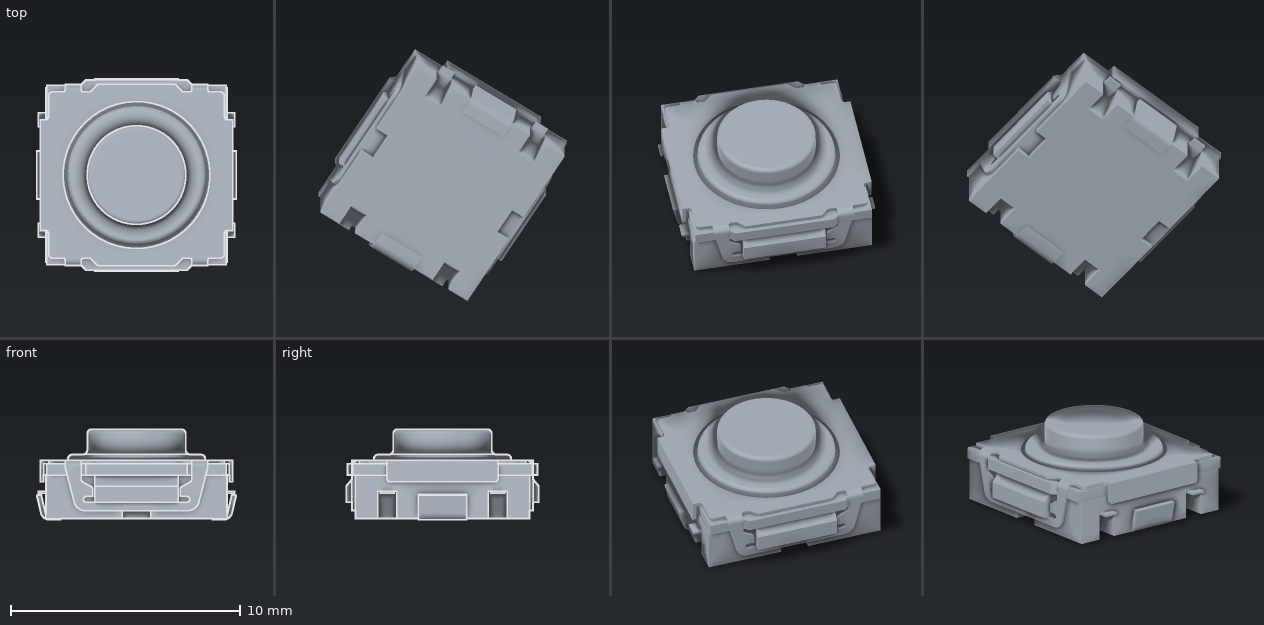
import cadquery as cq
import math

BODY_X = 7.9
BODY_Y = 7.6
RIM_SIZE = 7.84
RIM_BOTTOM = 1.9
RIM_TOP = 2.4
RIM_SIDE_X = 4.05
RIM_BUMP_Y = 4.15

KEY_WIDTH = 1.24
KEY_HEIGHT = 0.34
KEY_DEPTH = 0.6

HOOK_HALF_WIDTH = 1.82
HOOK_Y = 4.2
HOOK_BOTTOM = 0.71
HOOK_RAMP_START = 1.42

SHEET = 0.15
COVER_TOP = RIM_TOP + SHEET
COVER_X = 3.82
COVER_Y = 3.62
COVER_CORNER = 0.15
STRAP_ROOT_R = 0.1
COVER_HOLE_R = 3.2
TAB_Y = 3.95
TAB_ROOT_X = 2.02
TAB_TIP_X = 1.7

FLAP_X = RIM_SIDE_X + SHEET
FLAP_HALF_WIDTH = 2.42
FLAP_BOTTOM = 1.6
FLAP_CORNER = 0.13

STRAP_OUTER_X = 3.11
STRAP_INNER_X = 2.41
STRAP_FACE_Y = BODY_Y / 2 + SHEET
STRAP_BEND = 0.3
STRAP_BEND_Z = COVER_TOP - STRAP_BEND
STRAP_BOTTOM = 0.35
STRAP_CORNER_X = 2.62
STRAP_CORNER_R = 0.5

WINDOW_SHOULDER_Z = 1.64
WINDOW_NECK_X = 1.91
WINDOW_NECK_Z = 1.36
WINDOW_FOOT_Z = 0.97
WINDOW_FOOT_X = 2.32
WINDOW_ROUND = 0.12

BUTTON_R = 2.15
BUTTON_TOP = 3.9
COLLAR_R = 3.0
COLLAR_TOP = 2.8
PLUNGER_ROUND = 0.2

LEAD_HALF_WIDTH = 1.05
LEAD_THICKNESS = 0.2
LEAD_TIP_X = 4.35
LEAD_TIP_Z = 1.02
LEAD_TILT = 13.0
LEAD_BOTTOM = -0.05
LEAD_FOOT_X = 3.3
LEAD_BEND_R = 0.4

POCKET_Y = 2.41
POCKET_WIDTH = 0.82
POCKET_HEIGHT = 1.2
POCKET_DEPTH = 0.5
POCKET_TILT = 22.0
TONGUE_WIDTH = 0.62
TONGUE_THICKNESS = 0.1
TONGUE_X = 4.29
TONGUE_ROOT = 0.5


def block(x0, x1, y0, y1, z0, z1):
    """Box between two opposite corners."""
    return cq.Workplane("XY").box(x1 - x0, y1 - y0, z1 - z0, centered=False).translate((x0, y0, z0))


def both_ends(shape):
    """The shape together with its mirror image across the XZ plane."""
    return shape.union(shape.mirror("XZ"))


def both_sides(shape):
    """The shape together with its mirror image across the YZ plane."""
    return shape.union(shape.mirror("YZ"))


def mirrored_outline(half):
    """Close a half outline given on the +X side with its reflection."""
    return half + [(-x, y) for x, y in reversed(half)]


def base():
    half_x = BODY_X / 2
    half_y = BODY_Y / 2
    body = block(-half_x, half_x, -half_y, half_y, 0, RIM_BOTTOM)
    key = block(-KEY_WIDTH / 2, KEY_WIDTH / 2, half_y - KEY_DEPTH, half_y, 0, KEY_HEIGHT)
    return body.cut(both_ends(key))


def rim():
    half = RIM_SIZE / 2
    side_run = RIM_SIDE_X - half
    bump_run = RIM_BUMP_Y - TAB_Y
    quarter = [
        (RIM_SIDE_X, FLAP_HALF_WIDTH - side_run),
        (half, FLAP_HALF_WIDTH),
        (half, half),
        (STRAP_INNER_X, half),
        (STRAP_INNER_X, TAB_Y),
        (STRAP_INNER_X - bump_run, RIM_BUMP_Y),
    ]
    half_outline = [(x, -y) for x, y in reversed(quarter)] + quarter
    plate = cq.Workplane("XY").workplane(offset=RIM_BOTTOM).polyline(mirrored_outline(half_outline)).close()
    plate = plate.extrude(RIM_TOP - RIM_BOTTOM)
    strap_seat = block(STRAP_INNER_X, STRAP_OUTER_X, BODY_Y / 2, RIM_BUMP_Y, STRAP_BEND_Z, RIM_TOP)
    return plate.cut(both_ends(both_sides(strap_seat)))


def hooks():
    wall = BODY_Y / 2
    profile = [
        (0, HOOK_BOTTOM),
        (HOOK_Y, HOOK_BOTTOM),
        (HOOK_Y, HOOK_RAMP_START),
        (wall, RIM_BOTTOM),
        (0, RIM_BOTTOM),
    ]
    hook = cq.Workplane("YZ").polyline(profile).close().extrude(HOOK_HALF_WIDTH, both=True)
    return both_ends(hook)


def cover_plate():
    """Top plate with side wings and end tabs, its outline corners rounded."""
    plate = block(-COVER_X, COVER_X, -COVER_Y, COVER_Y, RIM_TOP, COVER_TOP)
    wing = block(-FLAP_X, FLAP_X, -FLAP_HALF_WIDTH, FLAP_HALF_WIDTH, RIM_TOP, COVER_TOP)
    half_tab = [(TAB_ROOT_X, COVER_Y), (TAB_TIP_X, TAB_Y)]
    underside = cq.Workplane("XY").workplane(offset=RIM_TOP)
    tab = underside.polyline(mirrored_outline(half_tab)).close().extrude(SHEET)
    hole = underside.circle(COVER_HOLE_R).extrude(SHEET)
    plate = plate.union(wing).union(both_ends(tab))
    rounded_corners = [
        (COVER_X, COVER_Y),
        (COVER_X, FLAP_HALF_WIDTH),
        (TAB_ROOT_X, COVER_Y),
        (TAB_TIP_X, TAB_Y),
    ]
    for corner_x, corner_y in rounded_corners:
        for x in (-corner_x, corner_x):
            for y in (-corner_y, corner_y):
                corner = cq.selectors.NearestToPointSelector((x, y, RIM_TOP + SHEET / 2))
                plate = plate.edges("|Z").edges(corner).fillet(COVER_CORNER)
    return plate.cut(hole)


def flaps():
    flap = block(RIM_SIDE_X, FLAP_X, -FLAP_HALF_WIDTH, FLAP_HALF_WIDTH, FLAP_BOTTOM, COVER_TOP)
    return both_sides(flap.edges("|X").edges("<Z").fillet(FLAP_CORNER))


def strap_window():
    """Opening between the straps, with a slot foot on each side of the hook."""
    half = [
        (STRAP_INNER_X, COVER_TOP),
        (STRAP_INNER_X, WINDOW_SHOULDER_Z),
        (WINDOW_NECK_X, WINDOW_NECK_Z),
        (WINDOW_NECK_X, HOOK_BOTTOM),
    ]
    opening = cq.Workplane("XZ").polyline(mirrored_outline(half)).close().extrude(-BODY_Y)
    shoulders = cq.selectors.BoxSelector(
        (-STRAP_INNER_X - SHEET, -BODY_Y, WINDOW_NECK_Z - SHEET),
        (STRAP_INNER_X + SHEET, 2 * BODY_Y, WINDOW_SHOULDER_Z + SHEET),
    )
    opening = opening.edges("|Y").edges(shoulders).fillet(WINDOW_ROUND)
    foot_height = WINDOW_FOOT_Z - HOOK_BOTTOM
    foot = (
        cq.Workplane("XZ")
        .center(0, HOOK_BOTTOM + foot_height / 2)
        .slot2D(2 * WINDOW_FOOT_X, foot_height)
        .extrude(-BODY_Y)
    )
    return opening.union(foot)


def straps():
    inner_y = BODY_Y / 2
    half = [(STRAP_OUTER_X, STRAP_BEND_Z), (STRAP_CORNER_X, STRAP_BOTTOM)]
    loop = cq.Workplane("XZ", origin=(0, inner_y, 0)).polyline(mirrored_outline(half)).close().extrude(-SHEET)
    loop = loop.edges("|Y").edges("<Z").fillet(STRAP_CORNER_R).cut(strap_window())

    bend_y = STRAP_FACE_Y - STRAP_BEND
    inner_bend = STRAP_BEND - SHEET
    diagonal = math.sqrt(0.5)
    bend = (
        cq.Workplane("YZ", origin=(STRAP_INNER_X, 0, 0))
        .moveTo(COVER_Y - COVER_CORNER, COVER_TOP)
        .lineTo(bend_y, COVER_TOP)
        .threePointArc(
            (bend_y + STRAP_BEND * diagonal, STRAP_BEND_Z + STRAP_BEND * diagonal),
            (STRAP_FACE_Y, STRAP_BEND_Z),
        )
        .lineTo(inner_y, STRAP_BEND_Z)
        .threePointArc(
            (bend_y + inner_bend * diagonal, STRAP_BEND_Z + inner_bend * diagonal),
            (bend_y, RIM_TOP),
        )
        .lineTo(COVER_Y - COVER_CORNER, RIM_TOP)
        .close()
        .extrude(STRAP_OUTER_X - STRAP_INNER_X)
    )
    return both_ends(loop.union(both_sides(bend)))


def cover():
    """Plate and straps, with small rounds where each strap leaves the plate."""
    shell = cover_plate().union(straps())
    for x in (-STRAP_OUTER_X, -STRAP_INNER_X, STRAP_INNER_X, STRAP_OUTER_X):
        for y in (-COVER_Y, COVER_Y):
            root = cq.selectors.NearestToPointSelector((x, y, RIM_TOP + SHEET / 2))
            shell = shell.edges("|Z").edges(root).fillet(STRAP_ROOT_R)
    return shell


def plunger():
    """Button, collar and skirt turned about Z, joined by equal rounds."""
    r = PLUNGER_ROUND
    bulge = r * math.sqrt(0.5)
    neck_r = BUTTON_R + r
    skirt_r = COLLAR_R + r
    profile = (
        cq.Workplane("XZ")
        .moveTo(0, RIM_BOTTOM)
        .lineTo(skirt_r, RIM_BOTTOM)
        .lineTo(skirt_r, RIM_TOP)
        .threePointArc((skirt_r - bulge, RIM_TOP + r - bulge), (COLLAR_R, RIM_TOP + r))
        .threePointArc((COLLAR_R - r + bulge, COLLAR_TOP - r + bulge), (COLLAR_R - r, COLLAR_TOP))
        .lineTo(neck_r, COLLAR_TOP)
        .threePointArc((neck_r - bulge, COLLAR_TOP + r - bulge), (BUTTON_R, COLLAR_TOP + r))
        .lineTo(BUTTON_R, BUTTON_TOP - r)
        .threePointArc((BUTTON_R - r + bulge, BUTTON_TOP - r + bulge), (BUTTON_R - r, BUTTON_TOP))
        .lineTo(0, BUTTON_TOP)
        .close()
    )
    return profile.revolve(360, (0, 0, 0), (0, 1, 0))


def side_leads():
    """Bent leads: a foot under the base and a blade leaning away from the wall."""
    tilt = math.radians(LEAD_TILT)
    outer_knee_x = LEAD_TIP_X - (LEAD_TIP_Z - LEAD_BOTTOM) * math.tan(tilt)
    foot_top = LEAD_BOTTOM + LEAD_THICKNESS
    inner_tip_x = LEAD_TIP_X - LEAD_THICKNESS * math.cos(tilt)
    inner_tip_z = LEAD_TIP_Z + LEAD_THICKNESS * math.sin(tilt)
    inner_knee_x = inner_tip_x - (inner_tip_z - foot_top) * math.tan(tilt)
    profile = [
        (LEAD_FOOT_X, LEAD_BOTTOM),
        (outer_knee_x, LEAD_BOTTOM),
        (LEAD_TIP_X, LEAD_TIP_Z),
        (inner_tip_x, inner_tip_z),
        (inner_knee_x, foot_top),
        (LEAD_FOOT_X, foot_top),
    ]
    lead = cq.Workplane("XZ").polyline(profile).close().extrude(LEAD_HALF_WIDTH, both=True)
    knee = cq.selectors.NearestToPointSelector((outer_knee_x, 0, LEAD_BOTTOM))
    return both_sides(lead.edges("|Y").edges(knee).fillet(LEAD_BEND_R))


def side_pockets():
    wall = BODY_X / 2
    top_x = wall - POCKET_DEPTH
    bottom_x = top_x - POCKET_HEIGHT * math.tan(math.radians(POCKET_TILT))
    profile = [(wall, 0), (wall, POCKET_HEIGHT), (top_x, POCKET_HEIGHT), (bottom_x, 0)]
    pocket = cq.Workplane("XZ").polyline(profile).close().extrude(POCKET_WIDTH / 2, both=True)
    return both_ends(both_sides(pocket.translate((0, POCKET_Y, 0))))


def tongues():
    tongue = block(
        BODY_X / 2 - POCKET_DEPTH - TONGUE_ROOT,
        TONGUE_X,
        POCKET_Y - TONGUE_WIDTH / 2,
        POCKET_Y + TONGUE_WIDTH / 2,
        POCKET_HEIGHT - TONGUE_THICKNESS,
        POCKET_HEIGHT,
    )
    return both_ends(both_sides(tongue))


result = base().cut(side_pockets())
for piece in (rim(), hooks(), cover(), flaps(), plunger(), side_leads(), tongues()):
    result = result.union(piece)